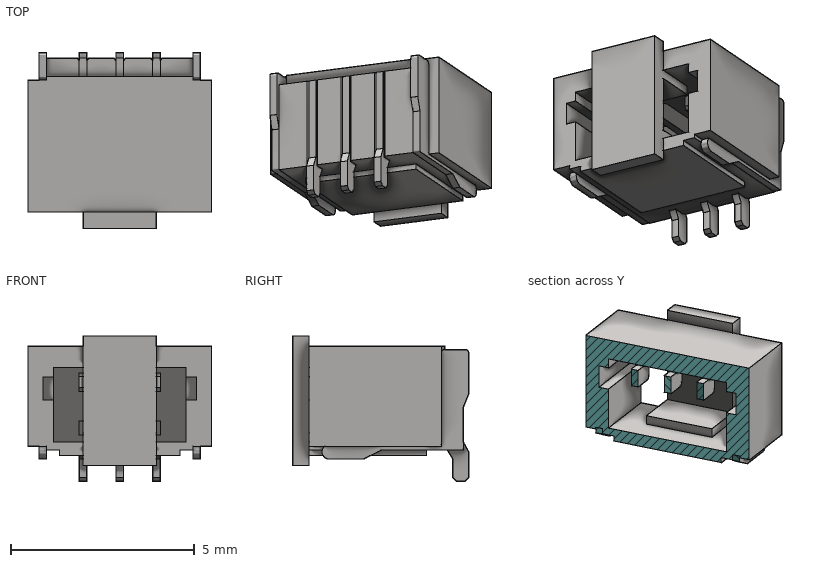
import cadquery as cq


HOUSING_WIDTH = 5.0
HOUSING_HEIGHT = 2.73
FLANK_DEPTH = 3.6
CENTER_WIDTH = 3.98
CENTER_TOP_DEPTH = 3.7
CENTER_DROP = 0.1
REAR_DEPTH = 4.2
REAR_TOP = 2.32
PAD_WIDTH = 3.29
PAD_DROP = 0.25
PAD_DEPTH = 3.2

CAVITY_WIDTH = 3.6
CAVITY_BOTTOM = 0.115
CAVITY_TOP = 2.155
CAVITY_DEPTH = 3.2
KEY_WIDTH = 4.18
KEY_BOTTOM = 1.27
KEY_TOP = 1.89
KEY_DEPTH = 2.0

CONTACT_COUNT = 3
CONTACT_PITCH = 1.0
CONTACT_THICKNESS = 0.21
STEM_FRONT = CENTER_TOP_DEPTH
STEM_REAR = REAR_DEPTH
PIN_TIP = 1.3
PIN_BOTTOM = 1.5
PIN_TOP = 2.0
PIN_CHAMFER_HEIGHT = 0.1
PIN_TOP_CHAMFER_LENGTH = 0.39
PIN_BOTTOM_CHAMFER_LENGTH = 0.063
BARB_BOTTOM = 0.31
BARB_TOP = 0.69
OVERALL_REAR = 4.35
LEG_WIDTH = 0.44
LEG_FRONT = OVERALL_REAR - LEG_WIDTH
LEG_REAR_BEND_TOP = 0.125
LEG_REAR_BEND_BOTTOM = -0.15
LEG_FRONT_BEND_TOP = 0.01
LEG_FRONT_BEND_BOTTOM = -0.34
LEG_BOTTOM = -0.95
LEG_CHAMFER = 0.1
SLOT_LEAD_IN_WIDTH = 0.05
SLOT_LEAD_IN_DEPTH = 0.07

TAB_THICKNESS = 0.21
TAB_TOP = 2.64
TAB_ROUND = 0.1
TAB_HEEL_ROUND = 0.04
TAB_BULGE_BOTTOM = 1.43
TAB_BULGE_TAPER_END = 1.06
FOOT_BOTTOM = -0.35
FOOT_ROUND = 0.2
FOOT_TIP = 0.35
FOOT_TAPER_START = 1.48
FOOT_TAPER_END = 1.97

CAP_WIDTH = 2.0
CAP_BOTTOM = -0.525
CAP_TOP = 3.01
CAP_THICKNESS = 0.45
ARM_DEPTH = 1.25
ARM_THICKNESS = 0.25


def box(width, y_range, z_range):
    """Block centered on X = 0."""
    y0, y1 = y_range
    z0, z1 = z_range
    block = cq.Workplane("XY").box(width, y1 - y0, z1 - z0, centered=(True, False, False))
    return block.translate((0, y0, z0))


def side_plate(outline, thickness, x_center):
    """Flat sheet-metal piece: a closed Y-Z outline given thickness along X."""
    return outline.extrude(thickness / 2, both=True).translate((x_center, 0, 0))


def make_contact(x_center):
    outline = cq.Workplane("YZ").polyline([
        (STEM_FRONT, REAR_TOP),
        (STEM_FRONT, PIN_TOP),
        (PIN_TIP + PIN_TOP_CHAMFER_LENGTH, PIN_TOP),
        (PIN_TIP, PIN_TOP - PIN_CHAMFER_HEIGHT),
        (PIN_TIP, PIN_BOTTOM + PIN_CHAMFER_HEIGHT),
        (PIN_TIP + PIN_BOTTOM_CHAMFER_LENGTH, PIN_BOTTOM),
        (STEM_FRONT, PIN_BOTTOM),
        (STEM_FRONT, BARB_TOP),
        (CAVITY_DEPTH, BARB_TOP),
        (CAVITY_DEPTH, BARB_BOTTOM),
        (STEM_FRONT, BARB_BOTTOM),
        (STEM_FRONT, LEG_FRONT_BEND_TOP),
        (LEG_FRONT, LEG_FRONT_BEND_BOTTOM),
        (LEG_FRONT, LEG_BOTTOM + LEG_CHAMFER),
        (LEG_FRONT + LEG_CHAMFER, LEG_BOTTOM),
        (OVERALL_REAR - LEG_CHAMFER, LEG_BOTTOM),
        (OVERALL_REAR, LEG_BOTTOM + LEG_CHAMFER),
        (OVERALL_REAR, LEG_REAR_BEND_BOTTOM),
        (STEM_REAR, LEG_REAR_BEND_TOP),
        (STEM_REAR, REAR_TOP),
    ]).close()
    return side_plate(outline, CONTACT_THICKNESS, x_center)


def make_solder_tab(x_center):
    arm_top = FOOT_BOTTOM + 2 * FOOT_ROUND
    foot_center = FOOT_TIP + FOOT_ROUND
    outline = (
        cq.Workplane("YZ")
        .moveTo(FLANK_DEPTH, arm_top)
        .lineTo(FLANK_DEPTH, TAB_TOP - TAB_ROUND)
        .radiusArc((FLANK_DEPTH + TAB_ROUND, TAB_TOP), TAB_ROUND)
        .lineTo(OVERALL_REAR - TAB_ROUND, TAB_TOP)
        .radiusArc((OVERALL_REAR, TAB_TOP - TAB_ROUND), TAB_ROUND)
        .lineTo(OVERALL_REAR, TAB_BULGE_BOTTOM)
        .lineTo(REAR_DEPTH, TAB_BULGE_TAPER_END)
        .lineTo(REAR_DEPTH, TAB_HEEL_ROUND - CENTER_DROP)
        .radiusArc((REAR_DEPTH - TAB_HEEL_ROUND, -CENTER_DROP), TAB_HEEL_ROUND)
        .lineTo(FOOT_TAPER_END, -CENTER_DROP)
        .lineTo(FOOT_TAPER_START, FOOT_BOTTOM)
        .lineTo(foot_center, FOOT_BOTTOM)
        .threePointArc((FOOT_TIP, FOOT_BOTTOM + FOOT_ROUND), (foot_center, arm_top))
        .close()
    )
    return side_plate(outline, TAB_THICKNESS, x_center)


def slot_lead_in(x_center):
    """Tapered cutter that widens a contact slot at the rear face."""
    half_slot = CONTACT_THICKNESS / 2
    half_mouth = half_slot + SLOT_LEAD_IN_WIDTH
    return (
        cq.Workplane("XY")
        .workplane(offset=-CENTER_DROP)
        .polyline([
            (x_center - half_mouth, REAR_DEPTH),
            (x_center - half_slot, REAR_DEPTH - SLOT_LEAD_IN_DEPTH),
            (x_center + half_slot, REAR_DEPTH - SLOT_LEAD_IN_DEPTH),
            (x_center + half_mouth, REAR_DEPTH),
        ])
        .close()
        .extrude(REAR_TOP + CENTER_DROP)
    )


def make_housing(contact_positions, metal_parts):
    housing = (
        box(HOUSING_WIDTH, (0, FLANK_DEPTH), (0, HOUSING_HEIGHT))
        .union(box(CENTER_WIDTH, (0, CENTER_TOP_DEPTH), (-CENTER_DROP, HOUSING_HEIGHT)))
        .union(box(CENTER_WIDTH, (0, REAR_DEPTH), (-CENTER_DROP, REAR_TOP)))
        .union(box(PAD_WIDTH, (0, PAD_DEPTH), (-PAD_DROP, 0)))
        .cut(box(CAVITY_WIDTH, (0, CAVITY_DEPTH), (CAVITY_BOTTOM, CAVITY_TOP)))
        .cut(box(KEY_WIDTH, (0, KEY_DEPTH), (KEY_BOTTOM, KEY_TOP)))
    )
    for x_center in contact_positions:
        housing = housing.cut(slot_lead_in(x_center))
    for metal_part in metal_parts:
        housing = housing.cut(metal_part)
    return housing


def make_cap():
    """Plate across the mating face with two arms lying on the cavity floor and ceiling."""
    return (
        box(CAP_WIDTH, (-CAP_THICKNESS, 0), (CAP_BOTTOM, CAP_TOP))
        .union(box(CAP_WIDTH, (0, ARM_DEPTH), (CAVITY_BOTTOM, CAVITY_BOTTOM + ARM_THICKNESS)))
        .union(box(CAP_WIDTH, (0, ARM_DEPTH), (CAVITY_TOP - ARM_THICKNESS, CAVITY_TOP)))
    )


contact_positions = [(i - (CONTACT_COUNT - 1) / 2) * CONTACT_PITCH for i in range(CONTACT_COUNT)]
tab_center = (CENTER_WIDTH + TAB_THICKNESS) / 2

contacts = [make_contact(x_center) for x_center in contact_positions]
solder_tabs = [make_solder_tab(side * tab_center) for side in (-1, 1)]
housing = make_housing(contact_positions, contacts + solder_tabs)
cap = make_cap()

result = cq.Compound.makeCompound([
    housing.val(),
    cap.val(),
    *[contact.val() for contact in contacts],
    *[tab.val() for tab in solder_tabs],
])